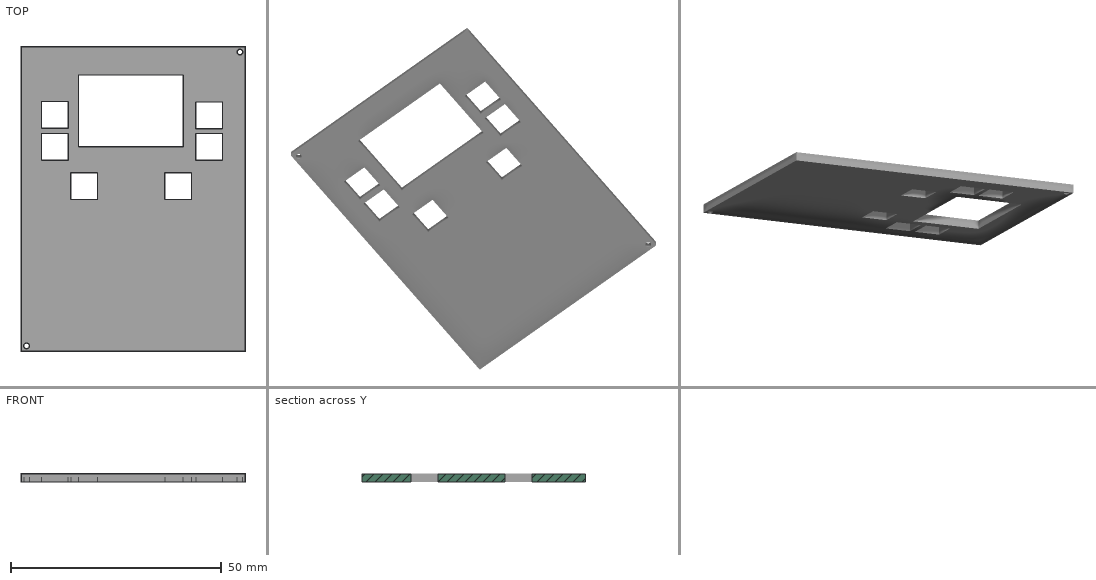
import cadquery as cq

plate_width = 53.4
plate_length = 72.5
plate_thickness = 2.0

window_width = 24.9
window_height = 17.0
window_center = (-0.6, 20.95)

button_size = 6.3
side_column_left_x = -18.6
side_column_right_x = 18.05
upper_left_y = 20.0
upper_right_y = 19.9
side_lower_y = 12.4
bottom_row_left_x = -11.7
bottom_row_right_x = 10.65
bottom_row_y = 3.05

button_centers = [
    (side_column_left_x, upper_left_y),
    (side_column_left_x, side_lower_y),
    (side_column_right_x, upper_right_y),
    (side_column_right_x, side_lower_y),
    (bottom_row_left_x, bottom_row_y),
    (bottom_row_right_x, bottom_row_y),
]

pin_hole_diameter = 1.3
pin_hole_inset = 1.3
pin_hole_x = plate_width / 2 - pin_hole_inset
pin_hole_y = plate_length / 2 - pin_hole_inset
pin_hole_centers = [(pin_hole_x, pin_hole_y), (-pin_hole_x, -pin_hole_y)]


def through_rectangles(width, height, centers):
    """Rectangular cutters spanning the full plate thickness."""
    return cq.Workplane("XY").pushPoints(centers).rect(width, height).extrude(plate_thickness)


def through_cylinders(diameter, centers):
    """Round cutters spanning the full plate thickness."""
    return cq.Workplane("XY").pushPoints(centers).circle(diameter / 2).extrude(plate_thickness)


plate = cq.Workplane("XY").rect(plate_width, plate_length).extrude(plate_thickness)

result = (
    plate
    .cut(through_rectangles(window_width, window_height, [window_center]))
    .cut(through_rectangles(button_size, button_size, button_centers))
    .cut(through_cylinders(pin_hole_diameter, pin_hole_centers))
)